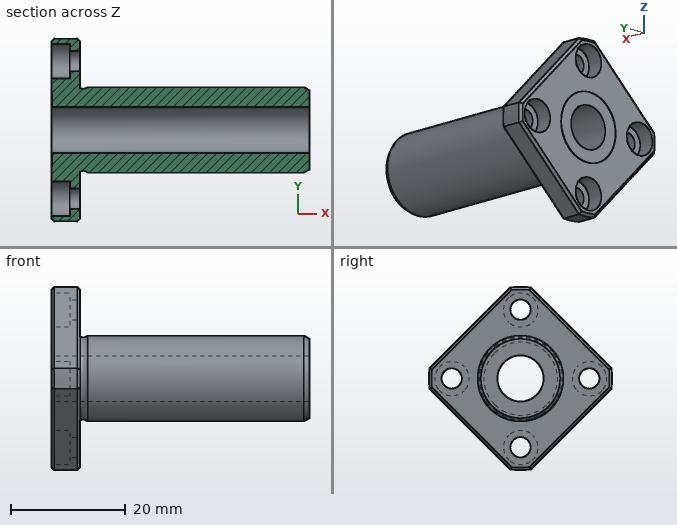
import cadquery as cq
import math

total_length = 45
bore_diameter = 8.0

recess_diameter = 12.8
recess_depth = 0.1

flange_diameter = 32.0
flange_square = 25.0
flange_thickness = 5.0
flange_chamfer = 0.5

body_diameter = 15.0
end_chamfer_length = 1.0
end_chamfer_depth = 0.6

neck_diameter = 14.4
neck_end = 6.3
neck_arc_radius = 1.12

hole_count = 4
hole_diameter = 3.5
counterbore_diameter = 6.0
counterbore_depth = 3.2
hole_circle_diameter = 24.0


def make_flange():
    square = (
        cq.Workplane("YZ")
        .rect(flange_square, flange_square)
        .extrude(flange_thickness)
        .rotate((0, 0, 0), (1, 0, 0), 45)
    )
    disc = cq.Workplane("YZ").circle(flange_diameter / 2).extrude(flange_thickness)
    return square.intersect(disc).faces("<X or >X").chamfer(flange_chamfer)


def make_body():
    """Revolve the half profile of the neck and body about the X axis."""
    body_radius = body_diameter / 2
    neck_radius = neck_diameter / 2
    arc_centre_height = neck_radius + neck_arc_radius
    arc_half_width = math.sqrt(neck_arc_radius**2 - (arc_centre_height - body_radius) ** 2)
    narrowest_x = neck_end - arc_half_width
    flange_offset = narrowest_x - flange_thickness
    arc_start_height = arc_centre_height - math.sqrt(neck_arc_radius**2 - flange_offset**2)
    return (
        cq.Workplane("XY")
        .lineTo(0, arc_start_height)
        .lineTo(flange_thickness, arc_start_height)
        .threePointArc((narrowest_x, neck_radius), (neck_end, body_radius))
        .lineTo(total_length - end_chamfer_length, body_radius)
        .lineTo(total_length, body_radius - end_chamfer_depth)
        .lineTo(total_length, 0)
        .close()
        .revolve(360, (0, 0, 0), (1, 0, 0))
    )


def make_mounting_holes():
    def drill(diameter, depth):
        return (
            cq.Workplane("YZ")
            .polarArray(hole_circle_diameter / 2, 0, 360, hole_count)
            .circle(diameter / 2)
            .extrude(depth)
        )

    through_holes = drill(hole_diameter, flange_thickness)
    return through_holes.union(drill(counterbore_diameter, counterbore_depth))


def make_bore():
    recess = cq.Workplane("YZ").circle(recess_diameter / 2).extrude(recess_depth)
    through_bore = cq.Workplane("YZ").circle(bore_diameter / 2).extrude(total_length)
    return recess.union(through_bore)


result = make_flange().union(make_body()).cut(make_mounting_holes()).cut(make_bore())